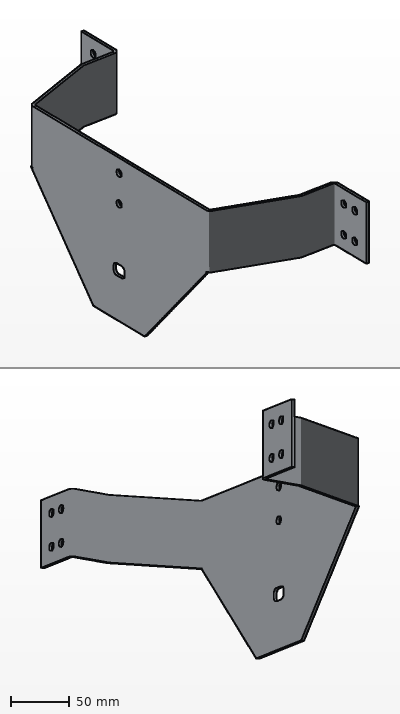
import cadquery as cq
import math

sheet = 3.0
inner_radius = 1.0
outer_radius = inner_radius + sheet
flange_inner_radius = 2.0
flange_outer_radius = flange_inner_radius + sheet
total_height = 160.0
band_height = 60.0
overall_span = 389.0
overall_depth = 118.5
yaw = -20

panel_half_width = 121.5
bend_shift = 0.7
wall_angle = 70
wall_rise = 79.0
wall_run = wall_rise / math.tan(math.radians(wall_angle))
arm_u = panel_half_width + wall_run

taper_top_half_width = 120.3
panel_bottom_width = 70.0

hole_diameter = 7.0
hole_rows = (-15.0, -45.0)
flange_hole_pitch = 15.0
flange_hole_edge = 16.0
slot_length = 15.0
slot_height = 11.7
slot_corner_radius = 4.0
slot_z = -110.5

panel_mitre = sheet * math.tan(math.radians(wall_angle / 2))
knee_mitre = sheet * math.tan(math.radians((90 - wall_angle) / 2))
flange_front = overall_depth - sheet
flange_end = overall_span / 2

outer_corners = [
    (panel_half_width, 0),
    (arm_u, wall_rise),
    (arm_u, flange_front),
]
inner_corners = [
    (panel_half_width - panel_mitre, sheet),
    (arm_u - sheet, wall_rise + knee_mitre),
    (arm_u - sheet, overall_depth),
]


def mirrored(points):
    return [(-u, v) for u, v in reversed(points)]


def shifted(points):
    return [(u + bend_shift, v) for u, v in points]


def round_bends(band, corners, radius):
    for u, v in shifted(corners + mirrored(corners)):
        edge = cq.selectors.NearestToPointSelector((u, v, -band_height / 2))
        band = band.edges(edge).fillet(radius)
    return band


def bent_band():
    """Strip that forms the upper panel, side walls, arms and flanges."""
    outer_bends = shifted(mirrored(outer_corners) + outer_corners)
    inner_bends = shifted(mirrored(inner_corners) + inner_corners)
    left_end = [(-flange_end, overall_depth), (-flange_end, flange_front)]
    right_end = [(flange_end, flange_front), (flange_end, overall_depth)]
    outline = left_end + outer_bends + right_end + inner_bends[::-1]
    band = cq.Workplane("XY").polyline(outline).close().extrude(-band_height)
    band = round_bends(band, outer_corners[:2], outer_radius)
    band = round_bends(band, inner_corners[:2], inner_radius)
    band = round_bends(band, outer_corners[2:], flange_inner_radius)
    return round_bends(band, inner_corners[2:], flange_outer_radius)


def lower_panel():
    """Trapezoid that continues the panel below the strip."""
    return (
        cq.Workplane("XZ")
        .polyline([
            (-taper_top_half_width, -band_height),
            (taper_top_half_width, -band_height),
            (panel_bottom_width / 2, -total_height),
            (-panel_bottom_width / 2, -total_height),
        ])
        .close()
        .extrude(-sheet)
    )


def hole_cutters():
    """Round holes in two rows through the panel and both flanges."""
    first = flange_end - flange_hole_edge
    second = first - flange_hole_pitch
    columns = (-first, -second, 0, second, first)
    centres = [(u, z) for u in columns for z in hole_rows]
    return cq.Workplane("XZ").pushPoints(centres).circle(hole_diameter / 2).extrude(-overall_depth)


def slot_cutter():
    """Rounded rectangular opening in the lower panel."""
    return (
        cq.Workplane("XZ")
        .center(0, slot_z)
        .rect(slot_length, slot_height)
        .extrude(-sheet)
        .edges("|Y")
        .fillet(slot_corner_radius)
    )


bracket = bent_band().union(lower_panel()).cut(hole_cutters()).cut(slot_cutter())
result = bracket.rotate((0, 0, 0), (0, 0, 1), yaw)